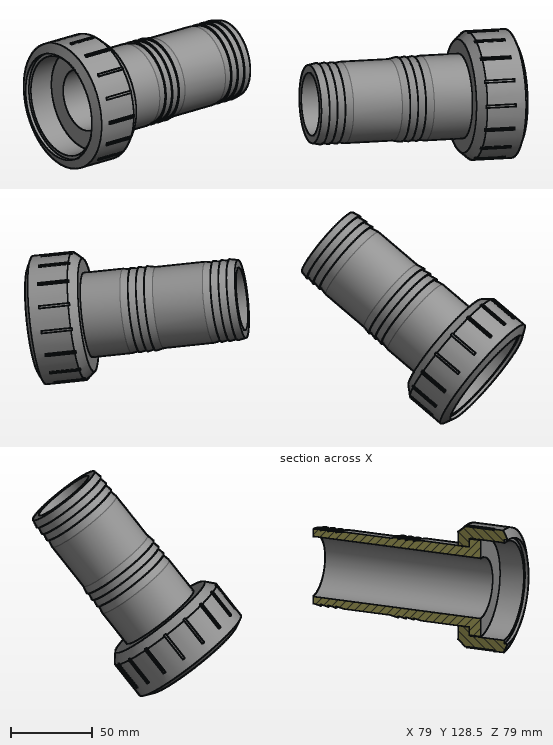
import cadquery as cq

LENGTH = 128.5
BORE_DIAMETER = 38.5

ROOT_DIAMETER = 52.0
HOSE_DIAMETER = 50.0
BARB_STEP = (ROOT_DIAMETER - HOSE_DIAMETER) / 2
BARB_PITCH = 5.0
BARB_COUNT = 4
HOSE_SECTION_LENGTH = 31.0
FLANGE_DIAMETER = 62.5
FLANGE_FACE_Y = 18.0

NUT_DIAMETER = 79.0
NUT_LENGTH = 33.0
NUT_BORE_DIAMETER = 62.7
MOUTH_DIAMETER = 67.0
MOUTH_DEPTH = 2.5
FRONT_CHAMFER_LENGTH = 3.0
REAR_CHAMFER_LENGTH = 5.5
REAR_CHAMFER_DEPTH = 4.8
LIP_THICKNESS = 7.3
LIP_Y = NUT_LENGTH - LIP_THICKNESS

GROOVE_COUNT = 16
GROOVE_WIDTH = 1.5
GROOVE_DEPTH = 0.6
GROOVE_START_Y = 9.3


def revolve_about_y(profile):
    """Revolve a closed (radius, y) profile about the Y axis."""
    return cq.Workplane("XY").polyline(profile).close().revolve(360, (0, 0, 0), (0, 1, 0))


def barb_points(start_y, crest_radius):
    """Profile of one barb group, running towards the nut from its end at start_y."""
    points = []
    for barb in range(BARB_COUNT):
        tip_y = start_y - barb * BARB_PITCH
        points.append((crest_radius - BARB_STEP, tip_y))
        points.append((crest_radius, tip_y - BARB_PITCH))
    return points


def make_hose_tail():
    hose_section_end_y = LENGTH - BARB_COUNT * BARB_PITCH
    hose_section_start_y = hose_section_end_y - HOSE_SECTION_LENGTH
    bore_radius = BORE_DIAMETER / 2
    flange_radius = FLANGE_DIAMETER / 2
    profile = [
        (bore_radius, FLANGE_FACE_Y),
        (bore_radius, LENGTH),
        *barb_points(LENGTH, HOSE_DIAMETER / 2),
        *barb_points(hose_section_start_y, ROOT_DIAMETER / 2),
        (ROOT_DIAMETER / 2, LIP_Y),
        (flange_radius, LIP_Y),
        (flange_radius, FLANGE_FACE_Y),
    ]
    return revolve_about_y(profile)


def make_nut_blank():
    outer_radius = NUT_DIAMETER / 2
    mouth_radius = MOUTH_DIAMETER / 2
    bore_radius = NUT_BORE_DIAMETER / 2
    neck_radius = ROOT_DIAMETER / 2
    profile = [
        (mouth_radius, 0),
        (outer_radius, FRONT_CHAMFER_LENGTH),
        (outer_radius, NUT_LENGTH - REAR_CHAMFER_LENGTH),
        (outer_radius - REAR_CHAMFER_DEPTH, NUT_LENGTH),
        (neck_radius, NUT_LENGTH),
        (neck_radius, LIP_Y),
        (bore_radius, LIP_Y),
        (bore_radius, MOUTH_DEPTH),
        (mouth_radius, MOUTH_DEPTH),
    ]
    return revolve_about_y(profile)


def make_groove_cutter():
    """Bar along the top of the nut that runs out through the rear chamfer."""
    floor_z = NUT_DIAMETER / 2 - GROOVE_DEPTH
    return (
        cq.Workplane("XY")
        .box(GROOVE_WIDTH, NUT_LENGTH - GROOVE_START_Y, 2 * GROOVE_DEPTH, centered=(True, False, False))
        .translate((0, GROOVE_START_Y, floor_z))
    )


def make_union_nut():
    nut = make_nut_blank()
    cutter = make_groove_cutter()
    for index in range(GROOVE_COUNT):
        angle = index * 360 / GROOVE_COUNT
        nut = nut.cut(cutter.rotate((0, 0, 0), (0, 1, 0), angle))
    return nut


hose_tail = make_hose_tail()
union_nut = make_union_nut()

result = cq.Compound.makeCompound([hose_tail.val(), union_nut.val()])